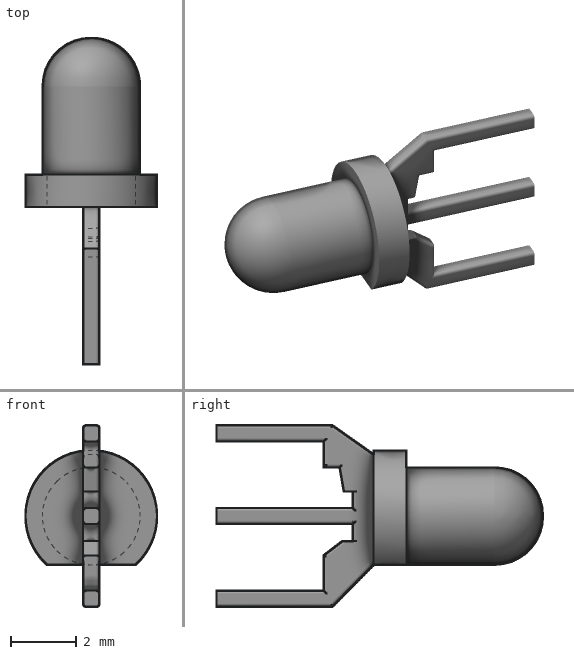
import cadquery as cq

body_radius = 1.5
dome_radius = body_radius
cylinder_length = 2.7
flange_radius = 2.025
flange_thickness = 1.0
flange_flat_z = -body_radius

lead_pitch = 2.54
lead_width = 0.5
lead_thickness = 0.5
lead_length = 4.83
edge_radius = 0.1

half_width = lead_width / 2
outer_z = lead_pitch + half_width
inner_z = lead_pitch - half_width
tip_y = -lead_length

upper_root_z = 1.89
lower_root_z = flange_flat_z
knee_y = -1.275
web_y = -1.54
notch_y = -0.65
upper_notch_z = 0.75
lower_notch_z = -0.77
upper_step_z = 1.486
upper_step_y = -1.05
upper_lip_y = -0.92
lower_lip_y = -0.965
lower_slope_z = -1.21

tolerance = 1e-4


def make_housing():
    """Domed cylinder on a round flange with one flat side."""
    shoulder_y = flange_thickness + cylinder_length
    dome_tip_y = shoulder_y + dome_radius
    dome_mid = dome_radius * 0.5 ** 0.5
    profile = (
        cq.Workplane("XY")
        .lineTo(flange_radius, 0)
        .lineTo(flange_radius, flange_thickness)
        .lineTo(body_radius, flange_thickness)
        .lineTo(body_radius, shoulder_y)
        .threePointArc((dome_mid, shoulder_y + dome_mid), (0, dome_tip_y))
        .close()
    )
    solid = profile.revolve(360, (0, 0, 0), (0, 1, 0))
    below_flat = (
        cq.Workplane("XY")
        .box(2 * flange_radius, flange_thickness, flange_radius, centered=(True, False, False))
        .translate((0, 0, flange_flat_z - flange_radius))
    )
    return solid.cut(below_flat).solids()


def is_rounded(edge):
    """True for the long edges of the plate that carry a fillet."""
    middle = edge.Center()
    on_side_face = abs(abs(middle.x) - lead_thickness / 2) < tolerance
    on_end = abs(middle.y) < tolerance or abs(middle.y - tip_y) < tolerance
    on_upper_wall = abs(middle.z - upper_notch_z) < tolerance
    on_lower_wall = abs(middle.z - lower_notch_z) < tolerance
    on_notch_wall = on_upper_wall or on_lower_wall
    on_sharp_notch_floor = abs(middle.y - notch_y) < tolerance and middle.x < 0
    return on_side_face and not (on_end or on_notch_wall or on_sharp_notch_floor)


def make_lead_frame():
    """Plate with three leads, its long edges rounded."""
    outline = [
        (0, upper_root_z),
        (knee_y, outer_z),
        (tip_y, outer_z),
        (tip_y, inner_z),
        (web_y, inner_z),
        (web_y, upper_step_z),
        (upper_step_y, upper_step_z),
        (upper_lip_y, upper_notch_z),
        (notch_y, upper_notch_z),
        (notch_y, half_width),
        (tip_y, half_width),
        (tip_y, -half_width),
        (notch_y, -half_width),
        (notch_y, lower_notch_z),
        (lower_lip_y, lower_notch_z),
        (web_y, lower_slope_z),
        (web_y, -inner_z),
        (tip_y, -inner_z),
        (tip_y, -outer_z),
        (knee_y, -outer_z),
        (0, lower_root_z),
    ]
    plate = cq.Workplane("YZ").polyline(outline).close().extrude(lead_thickness / 2, both=True)
    rounded_edges = [edge for edge in plate.edges().vals() if is_rounded(edge)]
    return plate.newObject(rounded_edges).fillet(edge_radius).solids()


housing = make_housing()
lead_frame = make_lead_frame()

result = cq.Compound.makeCompound([housing.val(), lead_frame.val()])